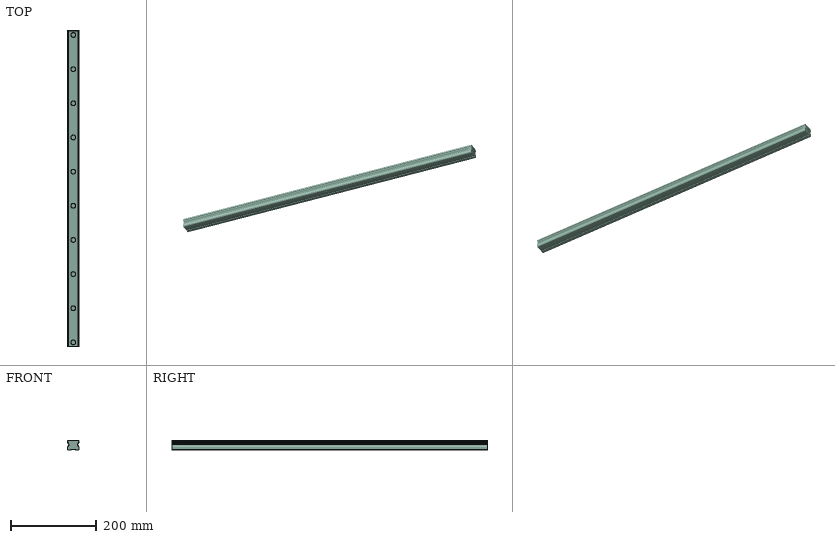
import cadquery as cq
import math

LENGTH = 740.0
WIDTH = 28.0
HEIGHT = 23.0
TOP = HEIGHT / 2
BOTTOM = -HEIGHT / 2
HALF_WIDTH = WIDTH / 2

UPPER_GROOVE_WIDTH = 2.5
UPPER_GROOVE_HEIGHT = 2.65
UPPER_GROOVE_SAG = 0.55
LOWER_GROOVE_TOP = 6.3
LOWER_GROOVE_WIDTH = 1.7
LOWER_GROOVE_HEIGHT = 2.2
LOWER_GROOVE_SAG = 0.8

WAIST_WIDTH = 21.0
WAIST_TOP = 1.5
SHOULDER_TOP = -0.3
SHOULDER_RADIUS = 1.5
FOOT_CHAMFER = 1.7

RELIEF_WIDTH = 10.0
RELIEF_DEPTH = 1.0

HOLE_PITCH = 80.0
HOLE_COUNT = 10
HOLE_DIAMETER = 11.0
CAP_RECESS = 0.1


def concave_middle(start, end, sag):
    """Middle point of an arc dished into the right flank, walking it downwards."""
    run = end[0] - start[0]
    rise = end[1] - start[1]
    chord = math.hypot(run, rise)
    return (
        (start[0] + end[0]) / 2 + sag * rise / chord,
        (start[1] + end[1]) / 2 - sag * run / chord,
    )


def half_section():
    """Right half of the cross-section, closed along the centre plane."""
    upper_start = (HALF_WIDTH - UPPER_GROOVE_WIDTH, TOP)
    upper_end = (HALF_WIDTH, TOP - UPPER_GROOVE_HEIGHT)
    lower_start = (HALF_WIDTH, LOWER_GROOVE_TOP)
    lower_end = (HALF_WIDTH - LOWER_GROOVE_WIDTH, LOWER_GROOVE_TOP - LOWER_GROOVE_HEIGHT)
    waist_x = WAIST_WIDTH / 2

    fillet_across = SHOULDER_RADIUS * (1 - math.cos(math.pi / 4))
    fillet_along = SHOULDER_RADIUS * math.sin(math.pi / 4)
    slope_top = (waist_x + fillet_across, SHOULDER_TOP - fillet_along)
    slope_bottom_x = HALF_WIDTH - fillet_across
    slope_bottom = (slope_bottom_x, slope_top[1] - (slope_bottom_x - slope_top[0]))

    return (
        cq.Workplane("XZ")
        .moveTo(0, TOP)
        .lineTo(*upper_start)
        .threePointArc(concave_middle(upper_start, upper_end, UPPER_GROOVE_SAG), upper_end)
        .lineTo(*lower_start)
        .threePointArc(concave_middle(lower_start, lower_end, LOWER_GROOVE_SAG), lower_end)
        .lineTo(waist_x, WAIST_TOP)
        .lineTo(waist_x, SHOULDER_TOP)
        .tangentArcPoint(slope_top, relative=False)
        .lineTo(*slope_bottom)
        .tangentArcPoint((HALF_WIDTH, slope_bottom[1] - fillet_along), relative=False)
        .lineTo(HALF_WIDTH, BOTTOM + FOOT_CHAMFER)
        .lineTo(HALF_WIDTH - FOOT_CHAMFER, BOTTOM)
        .lineTo(RELIEF_WIDTH / 2, BOTTOM)
        .lineTo(RELIEF_WIDTH / 2, BOTTOM + RELIEF_DEPTH)
        .lineTo(0, BOTTOM + RELIEF_DEPTH)
        .close()
    )


def rail_body():
    """Extrude the half section over the full length and mirror it across the centre plane."""
    right_side = half_section().extrude(LENGTH / 2, both=True)
    return right_side.union(right_side.mirror("YZ")).clean()


def cap_recesses():
    """One row of shallow round recesses along the centreline of the top face."""
    return (
        cq.Workplane("XY", origin=(0, 0, TOP))
        .rarray(1, HOLE_PITCH, 1, HOLE_COUNT)
        .circle(HOLE_DIAMETER / 2)
        .extrude(-CAP_RECESS)
    )


result = rail_body().cut(cap_recesses())